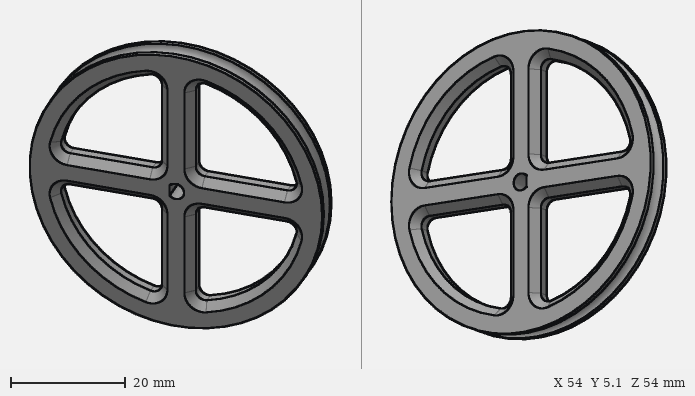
import cadquery as cq

wheel_diameter = 54.0
wheel_width = 5.1
wheel_radius = wheel_diameter / 2

groove_radius = 1.55

chamfer = 1.55
spoke_width = 6.25
rim_inner_radius = 22.3
window_corner_radius = 1.7
window_count = 4

shaft_radius = 1.5
shaft_flat_distance = 1.15


def face_plane():
    """Plane of the -Y face, with local Z pointing outwards to -Y."""
    return cq.Plane(origin=(0, -wheel_width / 2, 0), xDir=(1, 0, 0), normal=(0, -1, 0))


def extrude_across(sketch):
    """Extrude a sketch on the -Y face through to the +Y face."""
    return sketch.extrude(-wheel_width)


def make_disc():
    return extrude_across(cq.Workplane(face_plane()).circle(wheel_radius))


def make_groove():
    profile = cq.Workplane("XY").center(wheel_radius, 0).circle(groove_radius)
    return profile.revolve(360, (-wheel_radius, 0, 0), (-wheel_radius, 1, 0))


def make_window():
    """Window in the +X +Z quarter."""
    near_edge = spoke_width / 2
    far_edge = near_edge + wheel_radius
    quarter = extrude_across(
        cq.Workplane(face_plane())
        .moveTo(near_edge, near_edge)
        .lineTo(far_edge, near_edge)
        .lineTo(far_edge, far_edge)
        .lineTo(near_edge, far_edge)
        .close()
    )
    rim_disc = extrude_across(cq.Workplane(face_plane()).circle(rim_inner_radius))
    return quarter.intersect(rim_disc).edges("|Y").fillet(window_corner_radius)


def make_shaft_hole():
    round_hole = extrude_across(cq.Workplane(face_plane()).circle(shaft_radius))
    kept_width = shaft_radius + shaft_flat_distance
    kept_side = extrude_across(
        cq.Workplane(face_plane())
        .center(kept_width / 2 - shaft_flat_distance, 0)
        .rect(kept_width, 2 * shaft_radius)
    )
    return round_hole.intersect(kept_side)


wheel = make_disc()
window = make_window()
for index in range(window_count):
    angle = index * 360 / window_count
    wheel = wheel.cut(window.rotate((0, 0, 0), (0, 1, 0), angle))

side_faces = wheel.faces("<Y or >Y").vals()
window_edges = [edge for face in side_faces for wire in face.innerWires() for edge in wire.Edges()]
wheel = wheel.newObject(window_edges).chamfer(chamfer)

result = wheel.cut(make_groove()).cut(make_shaft_hole())